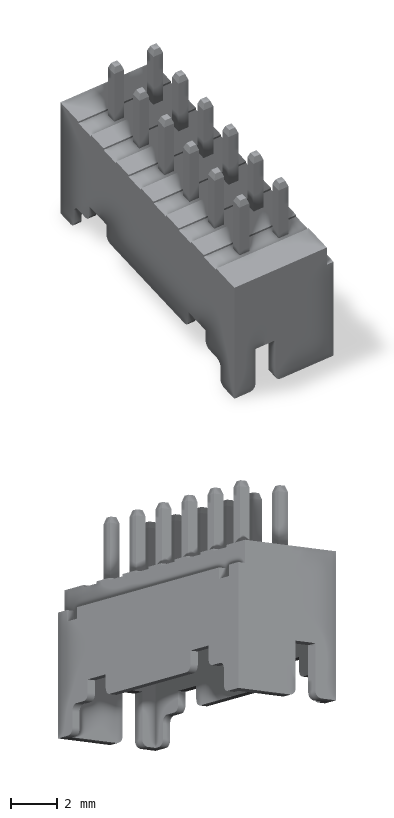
import cadquery as cq


length = 13.9
depth = 5.07
height = 6.53
total_height = 9.54
corner_radius = 0.3
margin = 0.14

ledge_depth = 0.35
ledge_height = 1.01
notch_near = 5.48
notch_width = 0.76
notch_depth = 0.5

end_wall = 0.55
long_wall = 0.38
cavity_height = height - 2 * ledge_height

slot_front = 1.07
slot_width = 1.03
slot_height = 2.39

foot_width = 1.11
foot_height = 1.32
window_outer = 4.65
window_width = 1.39
window_height = 2.22

columns = 6
rows = 2
pitch = 2.0
front_row = 1.6
pin_width = 0.5
tip_width = 0.3
tip_height = 0.29
groove_width = pitch / 2
groove_depth = 0.1

half_length = length / 2
column_places = [(i - (columns - 1) / 2) * pitch for i in range(columns)]
row_places = [front_row + j * pitch for j in range(rows)]


def box_between(x_min, x_max, y_min, y_max, z_min, z_max):
    """Box given by its limits along each axis."""
    size = (x_max - x_min, y_max - y_min, z_max - z_min)
    return cq.Workplane("XY").box(*size, centered=False).translate((x_min, y_min, z_min))


def long_profile():
    """Housing outline seen along Y: feet, raised bottom edge and two windows."""
    foot_inner = half_length - foot_width
    window_inner = window_outer - window_width
    right_side = [
        (window_inner, foot_height),
        (window_inner, window_height),
        (window_outer, window_height),
        (window_outer, foot_height),
        (foot_inner, foot_height),
        (foot_inner, 0),
        (half_length, 0),
        (half_length, height),
    ]
    left_side = [(-x, z) for x, z in reversed(right_side)]
    block = cq.Workplane("XZ").polyline(right_side + left_side).close().extrude(-depth)
    lower_corners = cq.selectors.BoxSelector(
        (-foot_inner - margin, 0, -margin),
        (foot_inner + margin, depth, foot_height + margin),
    )
    return block.edges("|Y").edges(lower_corners).fillet(corner_radius)


def end_profile():
    """Housing outline seen along X: rear ledge and the slot open at the bottom."""
    slot_rear = slot_front + slot_width
    outline = [
        (0, 0),
        (slot_front, 0),
        (slot_front, slot_height),
        (slot_rear, slot_height),
        (slot_rear, 0),
        (depth, 0),
        (depth, height - ledge_height),
        (depth - ledge_depth, height - ledge_height),
        (depth - ledge_depth, height),
        (0, height),
    ]
    block = cq.Workplane("YZ").polyline(outline).close().extrude(half_length, both=True)
    slot_mouth = cq.selectors.BoxSelector(
        (-length, slot_front - margin, -margin),
        (length, slot_rear + margin, margin),
    )
    return block.edges("|X").edges(slot_mouth).fillet(corner_radius)


def housing():
    body = long_profile().intersect(end_profile())
    cavity_half = half_length - end_wall
    cavity = box_between(
        -cavity_half, cavity_half, long_wall, depth - long_wall, 0, cavity_height
    )
    body = body.cut(cavity)

    for x in column_places:
        groove_half = groove_width / 2
        body = body.cut(
            box_between(x - groove_half, x + groove_half, 0, depth, height - groove_depth, height)
        )

    ledge_top = height - ledge_height
    notch = box_between(
        notch_near,
        notch_near + notch_width,
        depth - ledge_depth,
        depth,
        ledge_top - notch_depth,
        ledge_top,
    )
    return body.cut(notch).cut(notch.mirror("YZ"))


def pin(x, y):
    """Square pin with a tapered tip, rooted in the solid top of the housing."""
    shank_top = total_height - tip_height
    shank = (
        cq.Workplane("XY", origin=(x, y, cavity_height))
        .rect(pin_width, pin_width)
        .extrude(shank_top - cavity_height)
    )
    tip = (
        cq.Workplane("XY", origin=(x, y, shank_top))
        .rect(pin_width, pin_width)
        .workplane(offset=tip_height)
        .rect(tip_width, tip_width)
        .loft(ruled=True)
    )
    return shank.union(tip)


result = housing()
for column_x in column_places:
    for row_y in row_places:
        result = result.union(pin(column_x, row_y))